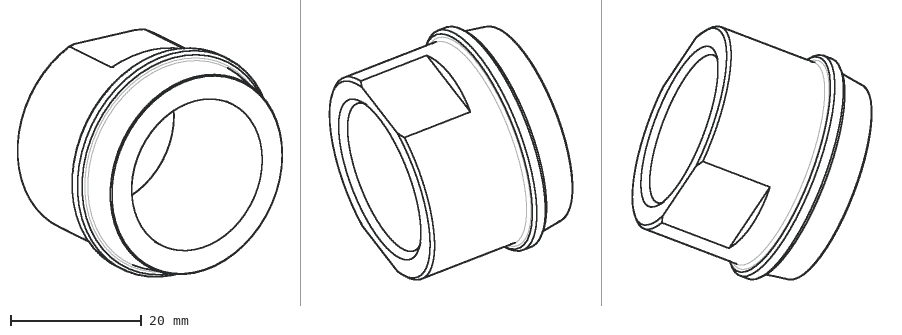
import cadquery as cq
import math

length = 25.0
body_radius = 33.0 / 2
bore_radius = 24.12 / 2
edge_chamfer = 0.5
bore_chamfer = 1.0

collar_radius = 36 / 2
collar_start = 17.0
collar_width = 2.5
collar_end = collar_start + collar_width
body_fillet = 0.5

nose_start_radius = 16.7
nose_angle = 9
nose_fillet = 0.32
nose_edge_chamfer = 0.18

flat_height = 14.98
flat_length = 12.0
shoulder_angle = 15

quarter_arc = 1 - math.cos(math.radians(45))
nose_start = collar_end + nose_fillet
nose_edge = length - nose_edge_chamfer
nose_edge_radius = nose_start_radius - (nose_edge - nose_start) * math.tan(math.radians(nose_angle))


def turned_body():
    """Revolved half section of the sleeve, collar and tapered nose."""
    section = (
        cq.Workplane("XY")
        .moveTo(bore_chamfer, bore_radius)
        .lineTo(0, bore_radius + bore_chamfer)
        .lineTo(0, body_radius - edge_chamfer)
        .lineTo(edge_chamfer, body_radius)
        .lineTo(collar_start - body_fillet, body_radius)
        .threePointArc(
            (collar_start - body_fillet * quarter_arc, body_radius + body_fillet * quarter_arc),
            (collar_start, body_radius + body_fillet),
        )
        .lineTo(collar_start, collar_radius - edge_chamfer)
        .lineTo(collar_start + edge_chamfer, collar_radius)
        .lineTo(collar_end - edge_chamfer, collar_radius)
        .lineTo(collar_end, collar_radius - edge_chamfer)
        .lineTo(collar_end, nose_start_radius + nose_fillet)
        .threePointArc(
            (collar_end + nose_fillet * quarter_arc, nose_start_radius + nose_fillet * quarter_arc),
            (nose_start, nose_start_radius),
        )
        .lineTo(nose_edge, nose_edge_radius)
        .lineTo(length, nose_edge_radius - nose_edge_chamfer)
        .lineTo(length, bore_radius)
        .close()
    )
    return section.revolve(360, (0, 0, 0), (1, 0, 0))


def flat_cutter():
    """Wedge-ended block that removes the material above the upper flat."""
    shoulder_run = (collar_radius - flat_height) * math.tan(math.radians(shoulder_angle))
    return (
        cq.Workplane("XZ")
        .moveTo(0, flat_height)
        .lineTo(flat_length, flat_height)
        .lineTo(flat_length + shoulder_run, collar_radius)
        .lineTo(0, collar_radius)
        .close()
        .extrude(collar_radius, both=True)
    )


upper_cutter = flat_cutter()
lower_cutter = upper_cutter.mirror("XY")
result = turned_body().cut(upper_cutter).cut(lower_cutter)